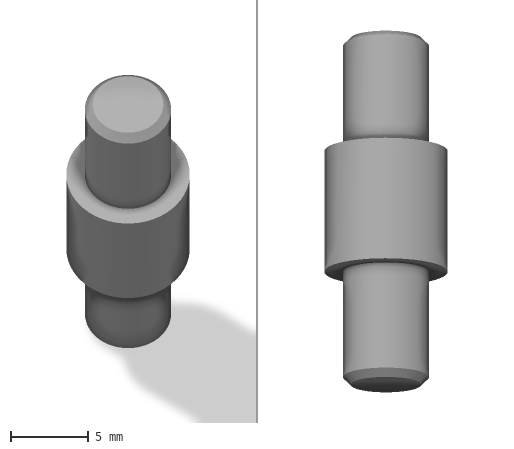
import cadquery as cq

pin_length = 23.0
pin_diameter = 5.6
pin_chamfer = 0.5

sleeve_diameter = 8.0
sleeve_length = sleeve_diameter


def make_pin():
    """Rod along Z, centred on the origin."""
    rod = cq.Workplane("XY").cylinder(pin_length, pin_diameter / 2)
    return rod.faces("|Z").edges().chamfer(pin_chamfer)


def make_sleeve():
    """Ring centred on the origin, with a bore that fits the pin."""
    blank = cq.Workplane("XY").cylinder(sleeve_length, sleeve_diameter / 2)
    return blank.faces(">Z").workplane().hole(pin_diameter)


pin = make_pin()
sleeve = make_sleeve()

result = cq.Compound.makeCompound([pin.val(), sleeve.val()])